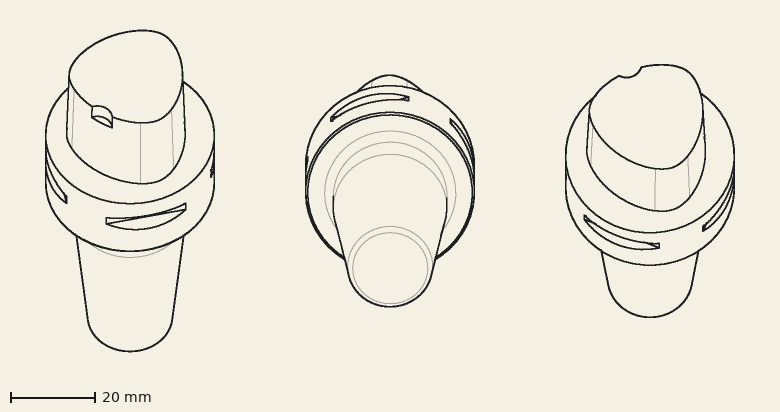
import cadquery as cq
import math

total_height = 99.0
shank_height = 24.0
flange_height = 20.0
flange_top = total_height - shank_height
flange_bottom = flange_top - flange_height
taper_top = 44.1

flange_radius = 20.0
flange_chamfer = 0.5
neck_radius = 13.5
neck_fillet = 2.1
nose_half_angle = 4.5
nose_radius = neck_radius - taper_top * math.tan(math.radians(nose_half_angle))
nose_fillet = 1.2

base_mean_radius = 14.1
shank_taper = 1 / 40
top_mean_radius = base_mean_radius - shank_height * shank_taper
lobe_eccentricity = 1.0
lobe_count = 3
points_per_face = 9

notch_radius = 3.6
notch_depth = 4.3
notch_inner_y = -10.9

groove_count = 4
groove_start_angle = 45
groove_depth = 2.5
groove_floor_width = 2.5
groove_side_angle = 30
groove_center_z = 66.9
cut_margin = 2.0


def make_body():
    """Flange, neck and tapered nose in one revolution."""
    profile = (
        cq.Workplane("XZ")
        .lineTo(nose_radius, 0)
        .lineTo(neck_radius, taper_top)
        .lineTo(neck_radius, flange_bottom - neck_fillet)
        .radiusArc((neck_radius + neck_fillet, flange_bottom), neck_fillet)
        .lineTo(flange_radius - flange_chamfer, flange_bottom)
        .lineTo(flange_radius, flange_bottom + flange_chamfer)
        .lineTo(flange_radius, flange_top)
        .lineTo(0, flange_top)
        .close()
    )
    body = profile.revolve(360, (0, 0, 0), (0, 1, 0))
    return body.faces("<Z").edges().fillet(nose_fillet)


def lobe_point(mean_radius, angle, z):
    """Point whose outward normal has the given angle; one lobe faces +Y."""
    phase = lobe_count * (angle - math.pi / 2)
    support = mean_radius + lobe_eccentricity * math.cos(phase)
    slope = -lobe_count * lobe_eccentricity * math.sin(phase)
    x = support * math.cos(angle) - slope * math.sin(angle)
    y = support * math.sin(angle) + slope * math.cos(angle)
    return cq.Vector(x, y, z)


def lobed_wire(mean_radius, z):
    """Closed outline of smoothly joined curves, two for each lobe."""
    face_count = 2 * lobe_count
    face_angle = 2 * math.pi / face_count
    edges = []
    for face in range(face_count):
        start = face * face_angle
        angles = [start + face_angle * i / (points_per_face - 1) for i in range(points_per_face)]
        tangents = [cq.Vector(-math.sin(a), math.cos(a), 0) for a in (angles[0], angles[-1])]
        points = [lobe_point(mean_radius, a, z) for a in angles]
        edges.append(cq.Edge.makeSpline(points, tangents=tangents))
    return cq.Wire.assembleEdges(edges)


def make_shank():
    base = lobed_wire(base_mean_radius, flange_top)
    top = lobed_wire(top_mean_radius, total_height)
    return cq.Workplane(cq.Solid.makeLoft([base, top], True))


def make_notch():
    return (
        cq.Workplane("XY", origin=(0, notch_inner_y - notch_radius, total_height - notch_depth))
        .circle(notch_radius)
        .extrude(notch_depth)
    )


def make_groove(angle):
    """Straight groove with a flat floor and flared sides."""
    floor_x = flange_radius - groove_depth
    mouth_x = flange_radius + cut_margin
    floor_half = groove_floor_width / 2
    flare = (mouth_x - floor_x) * math.tan(math.radians(groove_side_angle))
    mouth_half = floor_half + flare
    return (
        cq.Workplane("XZ", origin=(0, 0, groove_center_z))
        .polyline([
            (floor_x, -floor_half),
            (mouth_x, -mouth_half),
            (mouth_x, mouth_half),
            (floor_x, floor_half),
        ])
        .close()
        .extrude(flange_radius, both=True)
        .rotate((0, 0, 0), (0, 0, 1), angle)
    )


result = make_body().union(make_shank()).cut(make_notch())
for index in range(groove_count):
    result = result.cut(make_groove(groove_start_angle + index * 360 / groove_count))